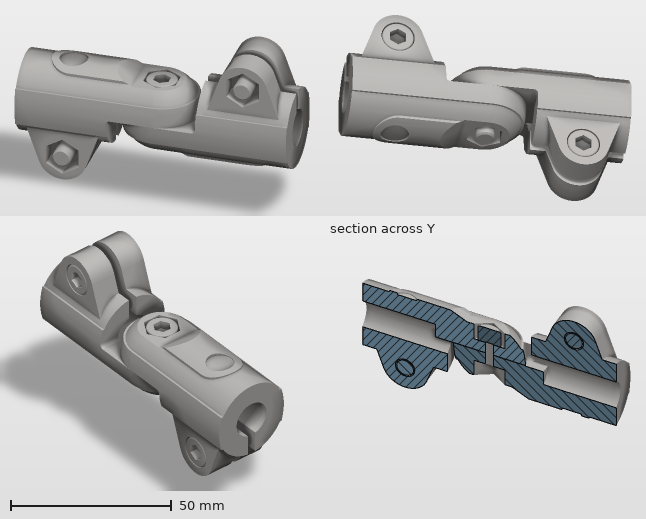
import cadquery as cq
import math

length = 88.0
half_length = length / 2
body_diameter = 26.0
body_radius = body_diameter / 2

band_half_height = 6.25
band_edge = 12.1

flat_height = 10.5
ramp_start = 7.8
ramp_top = 14.2
shoulder_clearance = 1.5
shoulder = body_radius + shoulder_clearance
corner_radius = 1.3

bore_radius = 6.0
bore_end = 18.8
slot_width = 3.0

lug_x = -(half_length + shoulder) / 2
lug_half_width = 10.4
lug_radius = 8.0
lug_axis_z = -16.5
lug_flank_angle = math.radians(19.5)
lug_root_z = -7.0

pad_x = -28.2
pad_radius = 7.2
pad_crest = 13.5
pad_curve_radius = 15.5
dimple_x = -28.5
dimple_diameter = 9.0
dimple_floor = 12.5

screw_diameter = 6.0
screw_length = 16.0
tip_chamfer = 0.5
head_diameter = 10.0
head_height = 6.0
head_rounding = 0.5
socket_flats = 5.0
socket_depth = 2.6
socket_cone_depth = 1.4

hole_diameter = 6.5
hex_flats = 10.5
pocket_depth = head_height


def hexagon_diameter(across_flats):
    """Corner-to-corner size of a hexagon."""
    return across_flats / math.cos(math.pi / 6)


def right_half_section(plane):
    """Right half of the body cross-section: two arcs of the round with the side band between."""
    round_edge = math.sqrt(body_radius**2 - band_half_height**2)
    arc_angle = (math.asin(band_half_height / body_radius) + math.pi / 2) / 2
    arc_y = body_radius * math.cos(arc_angle)
    arc_z = body_radius * math.sin(arc_angle)
    return (
        cq.Workplane(plane)
        .moveTo(0, -body_radius)
        .threePointArc((arc_y, -arc_z), (round_edge, -band_half_height))
        .lineTo(band_edge, -band_half_height)
        .threePointArc((body_radius, 0), (band_edge, band_half_height))
        .lineTo(round_edge, band_half_height)
        .threePointArc((arc_y, arc_z), (0, body_radius))
        .close()
    )


def make_barrel():
    """Straight body from its outer end to the pivot axis."""
    side = right_half_section("YZ").extrude(-half_length)
    return side.union(side.mirror("XZ"))


def make_round_end():
    """Body cross-section swept half a turn about the pivot axis to round off the tongue."""
    return (
        right_half_section("XZ")
        .revolve(180, (0, 0, 0), (0, 1, 0))
        .rotate((0, 0, 0), (0, 0, 1), -90)
    )


def make_pad():
    """Round-ended pad whose crowned top stands above the body."""
    outline = (
        cq.Workplane()
        .moveTo(0, -pad_radius)
        .lineTo(pad_x, -pad_radius)
        .threePointArc((pad_x - pad_radius, 0), (pad_x, pad_radius))
        .lineTo(0, pad_radius)
        .close()
        .extrude(pad_crest)
    )
    crown = (
        cq.Workplane("YZ")
        .center(0, pad_crest - pad_curve_radius)
        .circle(pad_curve_radius)
        .extrude(-half_length)
    )
    above_bore = cq.Workplane().box(length, length, length).translate((0, 0, bore_radius + half_length))
    return outline.intersect(crown).intersect(above_bore)


def make_dimple():
    """Shallow round recess with a flat floor near the round end of the pad."""
    return cq.Workplane(origin=(dimple_x, 0, dimple_floor)).circle(dimple_diameter / 2).extrude(pad_crest)


def make_lug():
    """Tapered lug with a rounded end that carries the clamp screw."""
    tangent_x = lug_radius * math.cos(lug_flank_angle)
    tangent_z = lug_axis_z - lug_radius * math.sin(lug_flank_angle)
    root_x = tangent_x + (lug_root_z - tangent_z) * math.tan(lug_flank_angle)
    return (
        cq.Workplane("XZ")
        .moveTo(lug_x - root_x, lug_root_z)
        .lineTo(lug_x - tangent_x, tangent_z)
        .threePointArc((lug_x, lug_axis_z - lug_radius), (lug_x + tangent_x, tangent_z))
        .lineTo(lug_x + root_x, lug_root_z)
        .close()
        .extrude(lug_half_width, both=True)
    )


def make_mating_cut():
    """Space below the hinge plane for the other half, with one rounded inner corner."""
    return (
        cq.Workplane("XZ")
        .moveTo(half_length, 0)
        .lineTo(-shoulder + corner_radius, 0)
        .radiusArc((-shoulder, -corner_radius), -corner_radius)
        .lineTo(-shoulder, -half_length)
        .lineTo(half_length, -half_length)
        .close()
        .extrude(length, both=True)
    )


def make_flat_cut():
    """Space above the tongue flat and the ramp that leads up to the pad."""
    rise = pad_crest - flat_height
    run = ramp_top - ramp_start
    return (
        cq.Workplane("XZ")
        .moveTo(half_length, flat_height)
        .lineTo(-ramp_start, flat_height)
        .lineTo(-ramp_start - 2 * run, flat_height + 2 * rise)
        .lineTo(half_length, flat_height + 2 * rise)
        .close()
        .extrude(length, both=True)
    )


def make_bore():
    """Blind bore whose lower half carries on until it opens into the mating space."""
    bore_length = half_length - body_radius
    bore = cq.Workplane("YZ", origin=(-half_length, 0, 0)).circle(bore_radius).extrude(bore_length)
    upper_stop = cq.Workplane().box(bore_end, length, length, centered=(False, True, False))
    return bore.cut(upper_stop.translate((-bore_end, 0, 0)))


def make_slot():
    """Clamping slot from the bore out through the lug."""
    slot_length = half_length - body_radius
    slot = cq.Workplane().box(slot_length, slot_width, half_length, centered=(False, True, False))
    return slot.translate((-half_length, 0, -half_length))


def make_pivot_hole():
    """Through hole on the pivot axis with a hexagonal pocket in the outer flat."""
    hole = cq.Workplane().circle(hole_diameter / 2).extrude(half_length)
    pocket = (
        cq.Workplane(origin=(0, 0, flat_height - pocket_depth))
        .transformed(rotate=(0, 0, 90))
        .polygon(6, hexagon_diameter(hex_flats))
        .extrude(half_length)
    )
    return hole.union(pocket)


def make_clamp_hole():
    """Through hole in the lug: hexagonal pocket in front, round counterbore behind."""
    pocket_floor = lug_half_width - pocket_depth
    hole = cq.Workplane("XZ").circle(hole_diameter / 2).extrude(half_length, both=True)
    pocket = (
        cq.Workplane("XZ", origin=(0, -pocket_floor, 0))
        .transformed(rotate=(0, 0, 90))
        .polygon(6, hexagon_diameter(hex_flats))
        .extrude(pocket_depth)
    )
    counterbore = cq.Workplane("XZ", origin=(0, pocket_floor, 0)).circle(hex_flats / 2).extrude(-pocket_depth)
    return hole.union(pocket).union(counterbore).translate((lug_x, 0, lug_axis_z))


def make_joint_half():
    """One half of the hinge, lying towards -X with its tongue above the hinge plane."""
    half = make_barrel().union(make_round_end()).union(make_pad()).union(make_lug())
    cuts = (
        make_dimple(),
        make_mating_cut(),
        make_flat_cut(),
        make_bore(),
        make_slot(),
        make_pivot_hole(),
        make_clamp_hole(),
    )
    for cut in cuts:
        half = half.cut(cut)
    return half


def make_screw(head_top):
    """Socket head screw on the Z axis, pointing down, its head flush with head_top."""
    head_seat = head_top - head_height
    shank = (
        cq.Workplane(origin=(0, 0, head_seat))
        .circle(screw_diameter / 2)
        .extrude(-screw_length)
        .faces("<Z")
        .chamfer(tip_chamfer)
    )
    head = (
        cq.Workplane(origin=(0, 0, head_seat))
        .circle(head_diameter / 2)
        .extrude(head_height)
        .faces(">Z")
        .fillet(head_rounding)
    )
    socket_corner = hexagon_diameter(socket_flats) / 2
    socket_bottom = socket_depth + socket_cone_depth
    drilled = (
        cq.Workplane("XZ", origin=(0, 0, head_top))
        .lineTo(socket_corner, 0)
        .lineTo(socket_corner, -socket_depth)
        .lineTo(0, -socket_bottom)
        .close()
        .revolve(360, (0, 0, 0), (0, 1, 0))
    )
    socket = (
        cq.Workplane(origin=(0, 0, head_top))
        .transformed(rotate=(0, 0, 90))
        .polygon(6, 2 * socket_corner)
        .extrude(-socket_bottom)
        .intersect(drilled)
    )
    return shank.union(head).cut(socket)


upper_half = make_joint_half()
lower_half = upper_half.rotate((0, 0, 0), (0, 1, 0), 180)

pivot_screw = make_screw(flat_height)

clamp_screws = []
for side in (1, -1):
    clamp_screw = make_screw(lug_half_width).rotate((0, 0, 0), (1, 0, 0), -90)
    clamp_screws.append(clamp_screw.translate((side * lug_x, 0, side * lug_axis_z)))

result = cq.Compound.makeCompound([
    upper_half.val(),
    lower_half.val(),
    pivot_screw.val(),
    *[screw.val() for screw in clamp_screws],
])